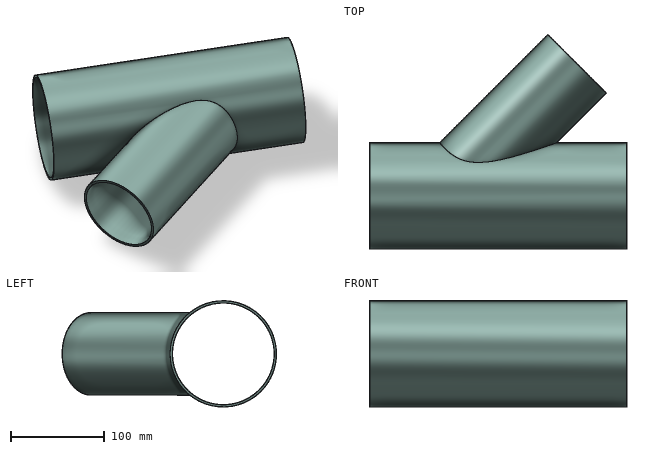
import cadquery as cq
import math

run_length = 276.0
run_outer_diameter = 114.3
wall = 2.62
run_inner_diameter = run_outer_diameter - 2 * wall

branch_outer_diameter = 89.0
branch_inner_diameter = branch_outer_diameter - 2 * wall
branch_angle = 45.0
branch_length = 200.5
branch_root_x = 81.0

branch_direction = cq.Vector(
    math.cos(math.radians(branch_angle)),
    math.sin(math.radians(branch_angle)),
    0,
)


def run_cylinder(diameter):
    """Solid cylinder over the full length of the main pipe."""
    return cq.Workplane("YZ").circle(diameter / 2).extrude(run_length)


def branch_cylinder(diameter):
    """Solid cylinder from the crossing of the axes to the open end of the branch."""
    root_plane = cq.Plane(
        origin=(branch_root_x, 0, 0),
        xDir=(0, 0, 1),
        normal=branch_direction,
    )
    return cq.Workplane(root_plane).circle(diameter / 2).extrude(branch_length)


outside = run_cylinder(run_outer_diameter).union(branch_cylinder(branch_outer_diameter))
bores = run_cylinder(run_inner_diameter).union(branch_cylinder(branch_inner_diameter))
result = outside.cut(bores)